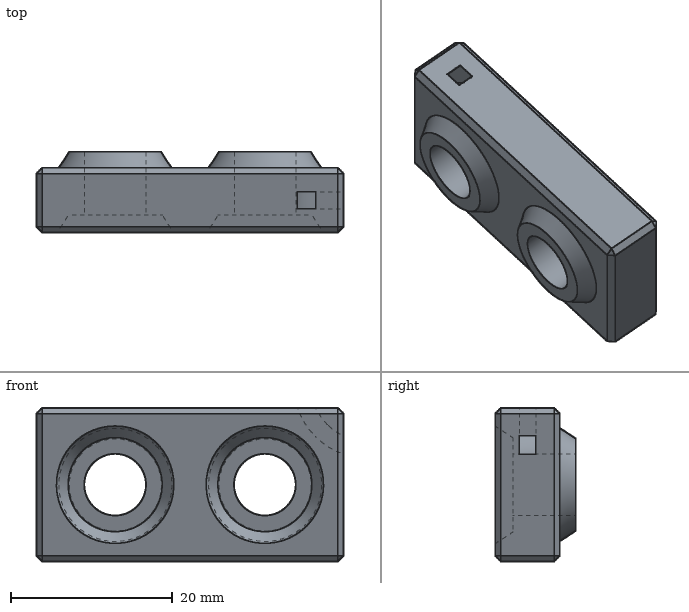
import cadquery as cq

length = 38.0
height = 19.0
depth = 8.0
edge_chamfer = 0.72

hole_spacing = 18.5
hole_diameter = 7.6
boss_base_diameter = 14.0
boss_tip_diameter = 11.4
boss_height = 1.98
socket_mouth_diameter = 14.5
socket_floor_diameter = 11.63
socket_depth = 2.2

channel_outer_radius = 9.25
channel_inner_radius = 7.15
channel_center_offset = 3.0
channel_width = 2.1


def cone(x, y_start, start_diameter, end_diameter, cone_length):
    """Truncated cone around a Y-parallel axis at x, growing toward +Y."""
    return cq.Workplane(
        cq.Solid.makeCone(
            start_diameter / 2,
            end_diameter / 2,
            cone_length,
            pnt=cq.Vector(x, y_start, 0),
            dir=cq.Vector(0, 1, 0),
        )
    )


def tie_channel():
    """Ring centred outside the top +X corner; only its inside arc meets the block."""
    center_x = length / 2 + channel_center_offset
    center_z = height / 2 + channel_center_offset
    back_y = (depth + channel_width) / 2
    return (
        cq.Workplane("XZ", origin=(center_x, back_y, center_z))
        .circle(channel_outer_radius)
        .circle(channel_inner_radius)
        .extrude(channel_width)
    )


result = (
    cq.Workplane("XY")
    .box(length, depth, height)
    .translate((0, depth / 2, 0))
    .edges()
    .chamfer(edge_chamfer)
)

for hole_x in (-hole_spacing / 2, hole_spacing / 2):
    boss = cone(hole_x, depth, boss_base_diameter, boss_tip_diameter, boss_height)
    socket = cone(hole_x, 0, socket_mouth_diameter, socket_floor_diameter, socket_depth)
    bore = cq.Workplane(
        cq.Solid.makeCylinder(
            hole_diameter / 2,
            depth + boss_height,
            pnt=cq.Vector(hole_x, 0, 0),
            dir=cq.Vector(0, 1, 0),
        )
    )
    result = result.union(boss).cut(socket).cut(bore)

result = result.cut(tie_channel())